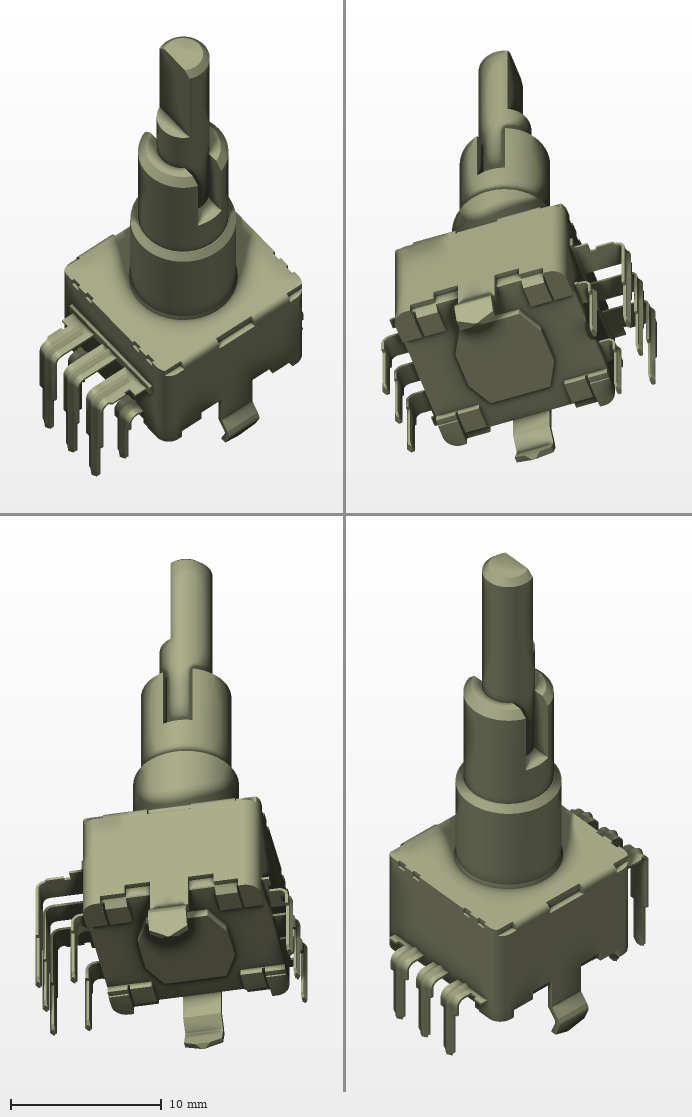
import cadquery as cq


housing_x = 11.58
housing_y = 12.02
housing_top = 7.9
corner_radius = 1.03
half_x = housing_x / 2
half_y = housing_y / 2
overall_height = 36.65
overall_x = 13.1

top_edge_radius = 0.48
side_skin = 0.4
corner_ledge_z = 7.4
corner_ledge_start = 4.47
top_notch_width = 2.97
top_notch_depth = 0.7
rim_notch_positions = (2.53, 3.95)
rim_notch_width = 0.65
rim_notch_height = 0.45
rim_notch_depth = 0.2

side_relief_length = 9.35
side_relief_z = 0.62
side_relief_slope = 0.5
window_length = 6.0
window_z = 1.32
rim_slit_start = 4.47
rim_slit_width = 0.2
rim_slit_z = 0.48
wall_lift = 0.1
wall_lift_width = 7.62
channel_width = 6.75
channel_z = 0.55
boss_half_x = 3.15
boss_half_y = 3.0
boss_face_half_x = 1.32
boss_face_half_y = 2.1

bushing_radius = 3.52
bushing_top = 14.77
bushing_chamfer = 0.45
bushing_foot_radius = 3.63
bushing_foot_height = 0.3
sleeve_radius = 3.0
sleeve_top = 22.45
sleeve_chamfer = 0.5
sleeve_slot_width = 1.98
sleeve_slot_floor = 17.5
shaft_radius = 1.75
shaft_top = 32.9
shaft_chamfer = 0.45
flat_y = -0.75
flat_floor = 25.87

pitch = 2.5
strip = 0.2
outer_pin_width = 1.6
middle_pin_width = 1.5
leg_width = 1.0
leg_top = 0.1
leg_bottom = -3.55
leg_tip_chamfer = 0.3
bend_radius = 0.65
bead_width = 0.65
bead_height = 0.2
upper_sheet_z = 4.75
lower_sheet_z = 1.45
upper_reach = 9.53
lower_front_reach = 7.15
back_reach = 7.55
root_y = half_y - 0.35

block_width = 8.58
block_bottom = 4.47
block_top = 5.25
block_face = half_y + 0.22

mount_width = 2.55
mount_thickness = 0.35
mount_bend_z = -1.03
mount_knee_x = overall_x / 2
mount_knee_inner_x = 6.1
mount_knee_start_x = 6.38
mount_knee_start_z = -1.7
mount_knee_top = -2.0
mount_knee_bottom = -2.2
mount_tip_x = 5.9
mount_tip_z = shaft_top - overall_height
mount_shoulder_z = -3.2
mount_nose_width = 0.6
mount_nose_z = -3.63


def block(x0, x1, y0, y1, z0, z1):
    """Axis-aligned box between two corners."""
    return cq.Workplane("XY").box(x1 - x0, y1 - y0, z1 - z0, centered=False).translate((x0, y0, z0))


def both_sides(solid, plane):
    """The solid together with its mirror image."""
    return solid.union(solid.mirror(plane))


def xz_prism(points, width):
    """Polygon in X and Z, extruded symmetrically along Y."""
    return cq.Workplane("XZ").polyline(points).close().extrude(width / 2, both=True)


def cylinder(radius, bottom, top):
    return cq.Workplane("XY").workplane(offset=bottom).circle(radius).extrude(top - bottom)


def make_housing():
    body = block(-half_x, half_x, -half_y, half_y, 0, housing_top)
    body = body.edges("|Z").fillet(corner_radius)

    inner_x = half_x - side_skin
    edge_z = housing_top - top_edge_radius
    edge_x = half_x - top_edge_radius
    edge = block(edge_x, half_x, -half_y, half_y, edge_z, housing_top)
    edge = edge.cut(cq.Workplane("XZ").center(edge_x, edge_z).circle(top_edge_radius)
                    .extrude(half_y, both=True))
    body = body.cut(both_sides(edge, "YZ"))

    ledge = block(inner_x, half_x, corner_ledge_start, half_y, corner_ledge_z, housing_top)
    body = body.cut(both_sides(both_sides(ledge, "YZ"), "XZ"))
    top_notch = block(inner_x, half_x, -top_notch_width / 2, top_notch_width / 2,
                      housing_top - top_notch_depth, housing_top)
    body = body.cut(both_sides(top_notch, "YZ"))

    for x in rim_notch_positions:
        notch = block(x - rim_notch_width / 2, x + rim_notch_width / 2, half_y - rim_notch_depth, half_y,
                      housing_top - rim_notch_height, housing_top)
        body = body.cut(both_sides(both_sides(notch, "YZ"), "XZ"))
    return body


def relieve_underside(body):
    inner_x = half_x - side_skin
    relief = xz_prism([(half_x, side_relief_z), (inner_x, side_relief_z),
                       (inner_x - side_relief_slope, 0), (half_x, 0)], side_relief_length)
    window = block(inner_x, half_x, -window_length / 2, window_length / 2, 0, window_z)
    body = body.cut(both_sides(relief.union(window), "YZ"))

    body = body.cut(block(-wall_lift_width / 2, wall_lift_width / 2, -half_y, half_y, 0, wall_lift))
    body = body.cut(block(-channel_width / 2, channel_width / 2, -half_y, half_y, 0, channel_z))
    body = body.cut(block(-half_x, half_x, -window_length / 2, window_length / 2, 0, channel_z))

    body = body.cut(block(-half_x, half_x, -rim_slit_start, rim_slit_start, 0, wall_lift))
    slit = block(-half_x, half_x, rim_slit_start, rim_slit_start + rim_slit_width, 0, rim_slit_z)
    body = body.cut(both_sides(slit, "XZ"))

    quarter = [(boss_half_x, boss_face_half_y), (boss_face_half_x, boss_half_y)]
    upper_half = quarter + [(-x, y) for x, y in reversed(quarter)]
    outline = upper_half + [(-x, -y) for x, y in upper_half]
    return body.union(cq.Workplane("XY").polyline(outline).close().extrude(channel_z))


def make_shafts():
    foot = (cq.Workplane("XZ")
            .polyline([(0, housing_top), (bushing_foot_radius, housing_top),
                       (bushing_radius, housing_top + bushing_foot_height),
                       (0, housing_top + bushing_foot_height)])
            .close().revolve(360, (0, 0, 0), (0, 1, 0)))
    bushing = cylinder(bushing_radius, housing_top, bushing_top).faces(">Z").chamfer(bushing_chamfer)

    sleeve = cylinder(sleeve_radius, housing_top, sleeve_top).faces(">Z").chamfer(sleeve_chamfer)
    sleeve = sleeve.cut(block(-sleeve_radius, sleeve_radius, -sleeve_slot_width / 2, sleeve_slot_width / 2,
                              sleeve_slot_floor, sleeve_top))

    shaft = cylinder(shaft_radius, housing_top, shaft_top).faces(">Z").chamfer(shaft_chamfer)
    shaft = shaft.cut(block(-shaft_radius, shaft_radius, -shaft_radius, flat_y, flat_floor, shaft_top))
    return foot.union(bushing).union(sleeve).union(shaft)


def make_pin(x, width, sheet_z, reach, bead_start):
    """Terminal on the -Y side: flat strip, bend, narrow leg and a raised V-bead along the outside."""
    inner_radius = bend_radius - strip
    bend_y = -(reach - bend_radius)
    bend_z = sheet_z - bend_radius
    strap = (cq.Workplane("YZ").moveTo(-root_y, sheet_z).lineTo(bend_y, sheet_z)
             .radiusArc((-reach, bend_z), -bend_radius)
             .lineTo(-reach, leg_top).lineTo(-reach + strip, leg_top).lineTo(-reach + strip, bend_z)
             .radiusArc((bend_y, sheet_z - strip), inner_radius)
             .lineTo(-root_y, sheet_z - strip).close()
             .extrude(width / 2, both=True))

    leg = block(-leg_width / 2, leg_width / 2, -reach, -reach + strip, leg_bottom, leg_top)
    leg = leg.faces("<Z").edges("|Y").chamfer(leg_tip_chamfer)

    path = (cq.Workplane("YZ").moveTo(-bead_start, sheet_z).lineTo(bend_y, sheet_z)
            .radiusArc((-reach, bend_z), -bend_radius).lineTo(-reach, leg_bottom))
    bead = (cq.Workplane("XZ", origin=(0, -bead_start, sheet_z))
            .moveTo(-bead_width / 2, -strip / 2).lineTo(-bead_width / 2, 0)
            .lineTo(0, bead_height).lineTo(bead_width / 2, 0)
            .lineTo(bead_width / 2, -strip / 2).close().sweep(path))
    return strap.union(leg).union(bead).translate((x, 0, 0))


def make_plate(points, sheet_z):
    """Sheet-metal outline in X and Y beside a terminal, repeated on the -X side."""
    plate = cq.Workplane("XY").workplane(offset=sheet_z - strip).polyline(points).close().extrude(strip)
    return both_sides(plate, "YZ")


def make_upper_front_row():
    bead_start = 6.67
    shoulder_x = 3.92
    shoulder_y = -7.15
    ear_x = 3.5
    ear_top = -7.6
    ear_bottom = -8.72
    ear_slope = 0.2
    pin_edge = pitch + outer_pin_width / 2
    row = block(-block_width / 2, block_width / 2, -block_face, -root_y, block_bottom, block_top)
    row = row.union(make_pin(0, middle_pin_width, upper_sheet_z, upper_reach, root_y))
    for x in (-pitch, pitch):
        row = row.union(make_pin(x, outer_pin_width, upper_sheet_z, upper_reach, bead_start))
    return row.union(make_plate([
        (pitch, -root_y), (shoulder_x, -root_y), (shoulder_x, shoulder_y), (pin_edge, shoulder_y),
        (pin_edge, ear_top), (ear_x, ear_top), (ear_x, ear_bottom),
        (pin_edge, ear_bottom - ear_slope), (pitch, ear_bottom - ear_slope)], upper_sheet_z))


def make_lower_front_row():
    tab_x = 3.37
    tab_y = -6.3
    row = make_plate([(pitch, -root_y), (tab_x, -root_y), (tab_x, tab_y), (pitch, tab_y)], lower_sheet_z)
    for x in (-pitch, pitch):
        row = row.union(make_pin(x, outer_pin_width, lower_sheet_z, lower_front_reach, root_y))
    return row


def make_back_row():
    tab_x = 4.58
    neck_x = 3.9
    tab_y = -6.52
    neck_y = -6.3
    row = make_plate([(pitch, -root_y), (tab_x, -root_y), (tab_x, tab_y), (neck_x, tab_y),
                      (neck_x, neck_y), (pitch, neck_y)], lower_sheet_z)
    row = row.union(make_pin(0, middle_pin_width, lower_sheet_z, back_reach, root_y))
    for x in (-pitch, pitch):
        row = row.union(make_pin(x, outer_pin_width, lower_sheet_z, back_reach, root_y))
    return row.mirror("XZ")


def make_mounting_leg():
    inner_x = half_x - side_skin
    bend_drop = 0.22
    leg = xz_prism([
        (half_x, window_z), (half_x, mount_bend_z), (mount_knee_start_x, mount_knee_start_z),
        (mount_knee_x, mount_knee_top), (mount_knee_x, mount_knee_bottom), (mount_tip_x, mount_tip_z),
        (mount_tip_x - mount_thickness, mount_tip_z + bend_drop),
        (mount_knee_inner_x, mount_knee_bottom), (mount_knee_inner_x, mount_knee_top),
        (inner_x, mount_bend_z - bend_drop), (inner_x, window_z)], mount_width)
    tip_outline = (cq.Workplane("YZ").moveTo(-mount_width / 2, window_z)
                   .lineTo(-mount_width / 2, mount_shoulder_z)
                   .lineTo(-mount_nose_width / 2, mount_nose_z)
                   .threePointArc((0, mount_tip_z), (mount_nose_width / 2, mount_nose_z))
                   .lineTo(mount_width / 2, mount_shoulder_z)
                   .lineTo(mount_width / 2, window_z).close().extrude(mount_knee_x))
    return both_sides(leg.intersect(tip_outline), "YZ")


result = (relieve_underside(make_housing())
          .union(make_shafts())
          .union(make_upper_front_row())
          .union(make_lower_front_row())
          .union(make_back_row())
          .union(make_mounting_leg()))